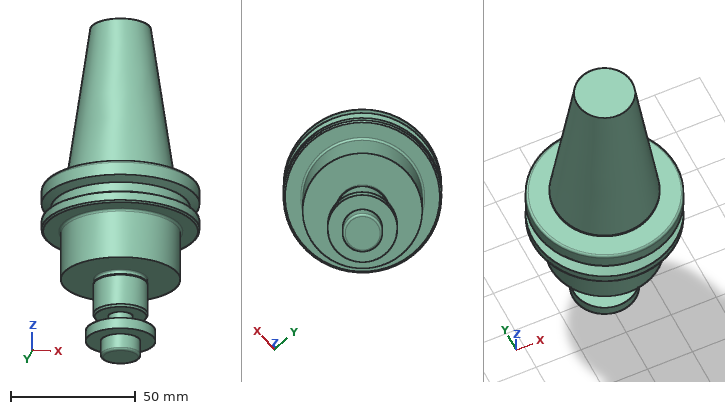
import cadquery as cq


GAUGE_DIAMETER = 44.45
TAPER_RATIO = 7 / 24
TAPER_LENGTH = 68.25
UNDERCUT_DIAMETER = 43.85
UNDERCUT_STEP_HEIGHT = 0.3

FLANGE_DIAMETER = 63.5
FLANGE_TOP_DEPTH = 1.0
FLANGE_BOTTOM_DEPTH = 19.1
FLANGE_TOP_FILLET = 1.0
FLANGE_BOTTOM_CHAMFER = 0.7
GROOVE_DIAMETER = 56.0
GROOVE_CENTRE_DEPTH = 11.1
GROOVE_FLOOR_WIDTH = 3.9
GROOVE_MOUTH_WIDTH = 7.5

BODY_DIAMETER = 48.0
BODY_BOTTOM_DEPTH = 40.0
BODY_FILLET = 0.9

SPIGOT_DIAMETER = 21.99
SPIGOT_LENGTH = 16.0
SPIGOT_CHAMFER_HEIGHT = 1.0
SPIGOT_CHAMFER_DEPTH = 0.6
RELIEF_DIAMETER = 21.29
RELIEF_FILLET = 0.3
RELIEF_WIDTH = 2.4
RELIEF_TAPER_HEIGHT = 0.6

TOTAL_LENGTH = 141.75
SCREW_NECK_DIAMETER = 10.0
SCREW_FLANGE_DIAMETER = 28.0
SCREW_FLANGE_THICKNESS = 4.5
SCREW_HEAD_DIAMETER = 16.0
SCREW_HEAD_HEIGHT = 6.75
SCREW_HEAD_FILLET = 1.0


def cylinder(diameter, top, bottom):
    """Solid cylinder on the Z axis between two heights."""
    return cq.Workplane("XY").workplane(offset=bottom).circle(diameter / 2).extrude(top - bottom)


def revolved(profile):
    """Solid of revolution about Z from (radius, height) points that start and end on the axis."""
    return cq.Workplane("XZ").polyline(profile).close().revolve(360, (0, 0, 0), (0, 1, 0))


def taper_shank():
    gauge_radius = GAUGE_DIAMETER / 2
    undercut_radius = UNDERCUT_DIAMETER / 2
    tip_radius = (GAUGE_DIAMETER - TAPER_LENGTH * TAPER_RATIO) / 2
    return revolved([
        (0, TAPER_LENGTH),
        (tip_radius, TAPER_LENGTH),
        (gauge_radius, 0),
        (undercut_radius, -UNDERCUT_STEP_HEIGHT),
        (undercut_radius, -FLANGE_TOP_DEPTH),
        (0, -FLANGE_TOP_DEPTH),
    ])


def gripper_flange():
    rim_radius = FLANGE_DIAMETER / 2
    groove_radius = GROOVE_DIAMETER / 2
    half_floor = GROOVE_FLOOR_WIDTH / 2
    half_mouth = GROOVE_MOUTH_WIDTH / 2
    disc = cylinder(FLANGE_DIAMETER, -FLANGE_TOP_DEPTH, -FLANGE_BOTTOM_DEPTH)
    disc = disc.faces(">Z").edges().fillet(FLANGE_TOP_FILLET)
    disc = disc.faces("<Z").edges().chamfer(FLANGE_BOTTOM_CHAMFER)
    groove = (
        cq.Workplane("XZ")
        .polyline([
            (rim_radius, -GROOVE_CENTRE_DEPTH + half_mouth),
            (groove_radius, -GROOVE_CENTRE_DEPTH + half_floor),
            (groove_radius, -GROOVE_CENTRE_DEPTH - half_floor),
            (rim_radius, -GROOVE_CENTRE_DEPTH - half_mouth),
        ])
        .close()
        .revolve(360, (0, 0, 0), (0, 1, 0))
    )
    return disc.cut(groove)


def body():
    radius = BODY_DIAMETER / 2
    return (
        cq.Workplane("XZ")
        .moveTo(0, -FLANGE_BOTTOM_DEPTH)
        .lineTo(radius + BODY_FILLET, -FLANGE_BOTTOM_DEPTH)
        .radiusArc((radius, -FLANGE_BOTTOM_DEPTH - BODY_FILLET), -BODY_FILLET)
        .lineTo(radius, -BODY_BOTTOM_DEPTH)
        .lineTo(0, -BODY_BOTTOM_DEPTH)
        .close()
        .revolve(360, (0, 0, 0), (0, 1, 0))
    )


def pilot_spigot():
    radius = SPIGOT_DIAMETER / 2
    relief_radius = RELIEF_DIAMETER / 2
    top = -BODY_BOTTOM_DEPTH
    bottom = top - SPIGOT_LENGTH
    return (
        cq.Workplane("XZ")
        .moveTo(0, top)
        .lineTo(relief_radius + RELIEF_FILLET, top)
        .radiusArc((relief_radius, top - RELIEF_FILLET), -RELIEF_FILLET)
        .lineTo(relief_radius, top - RELIEF_WIDTH + RELIEF_TAPER_HEIGHT)
        .lineTo(radius, top - RELIEF_WIDTH)
        .lineTo(radius, bottom + SPIGOT_CHAMFER_HEIGHT)
        .lineTo(radius - SPIGOT_CHAMFER_DEPTH, bottom)
        .lineTo(0, bottom)
        .close()
        .revolve(360, (0, 0, 0), (0, 1, 0))
    )


def clamping_screw():
    head_bottom = TAPER_LENGTH - TOTAL_LENGTH
    head_top = head_bottom + SCREW_HEAD_HEIGHT
    flange_top = head_top + SCREW_FLANGE_THICKNESS
    spigot_bottom = -BODY_BOTTOM_DEPTH - SPIGOT_LENGTH
    neck = cylinder(SCREW_NECK_DIAMETER, spigot_bottom, flange_top)
    flange = cylinder(SCREW_FLANGE_DIAMETER, flange_top, head_top)
    head = cylinder(SCREW_HEAD_DIAMETER, head_top, head_bottom)
    head = head.faces("<Z").edges().fillet(SCREW_HEAD_FILLET)
    return neck.union(flange).union(head)


result = (
    taper_shank()
    .union(gripper_flange())
    .union(body())
    .union(pilot_spigot())
    .union(clamping_screw())
)